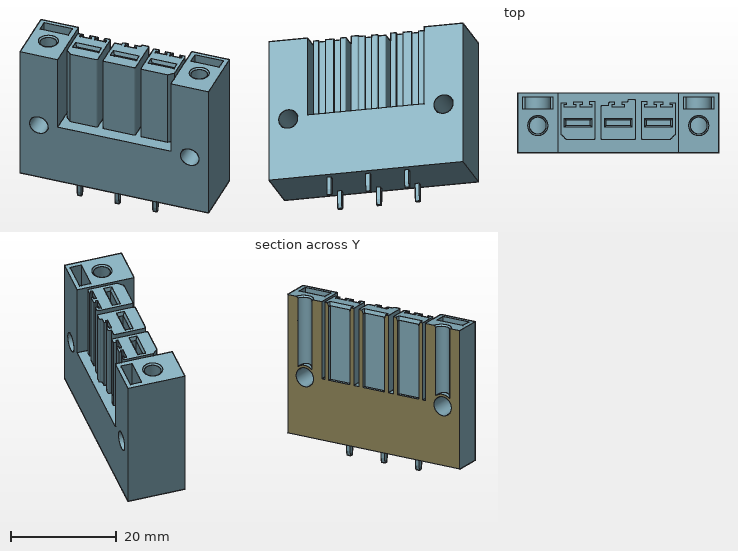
import cadquery as cq

PITCH = 7.62

WIDTH = 38.1
DEPTH = 11.4
HEIGHT = 28.05
NOTCH_WIDTH = 3 * PITCH
NOTCH_FLOOR = 12.45

FLANGE_X = 2 * PITCH
CROSS_HOLE_DIAMETER = 3.75
CROSS_HOLE_Z = 12.0
COLLAR_DIAMETER = 4.88
SCREW_HOLE_DIAMETER = 3.2
SCREW_HOLE_CHAMFER = 0.3
SCREW_HOLE_Y = 5.2
POCKET_WIDTH = 5.7
POCKET_FRONT = 8.35
POCKET_BACK = 10.6

TOWER_FRONT = 2.55
SIDE_TOWER_WIDTH = 6.5
MIDDLE_TOWER_WIDTH = 6.55
TOWER_CHAMFER = 1.03
TOWER_ROUND = 0.23
SIDE_TOWER_OUTER_BACK = 9.5
SIDE_TOWER_INNER_BACK = 9.75
LAND_BACK = 9.6
MIDDLE_TOWER_LOW_BACK = 8.95
MIDDLE_TOWER_HIGH_BACK = 10.15
MIDDLE_STEP_X = 1.83

KEYWAY_X = 1.5
KEYWAY_FLOOR = 8.72
KEYWAY_LIP = 9.15
KEYWAY_NECK = 1.35
KEYWAY_WIDTH = 2.3

SLOT_Y = 5.7
SLOT_LENGTH = 4.57
SLOT_WIDTH = 0.95
SLOT_FLOOR = NOTCH_FLOOR
SLOT_FLARE = 0.325
SLOT_FLARE_DEPTH = 0.72

PIN_WIDTH = 0.8
PIN_DEPTH = 1.03
PIN_TIP_DEPTH = 0.6
PIN_LENGTH = 3.45
PIN_TAPER = 1.0
FRONT_ROW_Y = 1.85


def box(x0, x1, y0, y1, z0, z1):
    """A block between two opposite corners."""
    return cq.Workplane("XY").box(x1 - x0, y1 - y0, z1 - z0, centered=False).translate((x0, y0, z0))


def make_block():
    """U-shaped block: a base between two end blocks."""
    block = box(-WIDTH / 2, WIDTH / 2, 0, DEPTH, 0, HEIGHT)
    notch = box(-NOTCH_WIDTH / 2, NOTCH_WIDTH / 2, 0, DEPTH, NOTCH_FLOOR, HEIGHT)
    return block.cut(notch)


def cross_cylinder(x, diameter):
    """Cylinder running front to back on the cross hole axis."""
    axis_start = cq.Workplane("XZ", origin=(x, 0, CROSS_HOLE_Z))
    return axis_start.circle(diameter / 2).extrude(-DEPTH)


def flange_cuts(x):
    """Cross hole, plus a nut pocket and a screw hole that end on the collar around it."""
    pocket = box(x - POCKET_WIDTH / 2, x + POCKET_WIDTH / 2, POCKET_FRONT, POCKET_BACK, CROSS_HOLE_Z, HEIGHT)
    screw_hole = (
        cq.Workplane("XY", origin=(x, SCREW_HOLE_Y, CROSS_HOLE_Z))
        .circle(SCREW_HOLE_DIAMETER / 2)
        .extrude(HEIGHT - CROSS_HOLE_Z)
    )
    mouth = (
        cq.Workplane("XY", origin=(x, SCREW_HOLE_Y, HEIGHT))
        .circle(SCREW_HOLE_DIAMETER / 2 + SCREW_HOLE_CHAMFER)
        .workplane(offset=-SCREW_HOLE_CHAMFER)
        .circle(SCREW_HOLE_DIAMETER / 2)
        .loft()
    )
    from_top = pocket.union(screw_hole).union(mouth).cut(cross_cylinder(x, COLLAR_DIAMETER))
    return from_top.union(cross_cylinder(x, CROSS_HOLE_DIAMETER))


def tower(outline):
    """Prism on the notch floor from a closed plan outline."""
    height = HEIGHT - NOTCH_FLOOR
    return cq.Workplane("XY").workplane(offset=NOTCH_FLOOR).polyline(outline).close().extrude(height)


def round_upright_edge(body, x, y):
    """Round the vertical edge that passes through (x, y)."""
    middle = (x, y, (NOTCH_FLOOR + HEIGHT) / 2)
    return body.edges(cq.selectors.NearestToPointSelector(middle)).fillet(TOWER_ROUND)


def keyway(x):
    """T-shaped keyway, open to the back."""
    neck = box(x - KEYWAY_NECK / 2, x + KEYWAY_NECK / 2, KEYWAY_FLOOR, DEPTH, NOTCH_FLOOR, HEIGHT)
    undercut = box(x - KEYWAY_WIDTH / 2, x + KEYWAY_WIDTH / 2, KEYWAY_FLOOR, KEYWAY_LIP, NOTCH_FLOOR, HEIGHT)
    return neck.union(undercut)


def contact_slot(x):
    """Rectangular slot with a flared mouth."""
    slot = (
        cq.Workplane("XY", origin=(x, SLOT_Y, SLOT_FLOOR))
        .rect(SLOT_LENGTH, SLOT_WIDTH)
        .extrude(HEIGHT - SLOT_FLOOR)
    )
    mouth = (
        cq.Workplane("XY", origin=(x, SLOT_Y, HEIGHT))
        .rect(SLOT_LENGTH + 2 * SLOT_FLARE, SLOT_WIDTH + 2 * SLOT_FLARE)
        .workplane(offset=-SLOT_FLARE_DEPTH)
        .rect(SLOT_LENGTH, SLOT_WIDTH)
        .loft()
    )
    return slot.union(mouth)


def make_right_tower():
    """Side tower, chamfered on its outer front edge; its back steps down towards the outside."""
    inner = PITCH - SIDE_TOWER_WIDTH / 2
    outer = PITCH + SIDE_TOWER_WIDTH / 2
    inner_step = PITCH - KEYWAY_X
    outer_step = PITCH + KEYWAY_X
    body = tower([
        (inner, TOWER_FRONT),
        (outer - TOWER_CHAMFER, TOWER_FRONT),
        (outer, TOWER_FRONT + TOWER_CHAMFER),
        (outer, SIDE_TOWER_OUTER_BACK),
        (outer_step, SIDE_TOWER_OUTER_BACK),
        (outer_step, LAND_BACK),
        (inner_step, LAND_BACK),
        (inner_step, SIDE_TOWER_INNER_BACK),
        (inner, SIDE_TOWER_INNER_BACK),
    ])
    rounded_corners = [(inner, TOWER_FRONT), (outer, SIDE_TOWER_OUTER_BACK), (inner, SIDE_TOWER_INNER_BACK)]
    for x, y in rounded_corners:
        body = round_upright_edge(body, x, y)
    return body.cut(keyway(inner_step)).cut(keyway(outer_step)).cut(contact_slot(PITCH))


def make_middle_tower():
    """Middle tower, whose back rises in two steps from left to right."""
    half = MIDDLE_TOWER_WIDTH / 2
    outline = [
        (-half, TOWER_FRONT),
        (half, TOWER_FRONT),
        (half, MIDDLE_TOWER_HIGH_BACK),
        (MIDDLE_STEP_X, MIDDLE_TOWER_HIGH_BACK),
        (MIDDLE_STEP_X, LAND_BACK),
        (-MIDDLE_STEP_X, LAND_BACK),
        (-MIDDLE_STEP_X, MIDDLE_TOWER_LOW_BACK),
        (-half, MIDDLE_TOWER_LOW_BACK),
    ]
    body = tower(outline)
    sharp_corner = (-MIDDLE_STEP_X, MIDDLE_TOWER_LOW_BACK)
    for x, y in outline:
        if (x, y) != sharp_corner:
            body = round_upright_edge(body, x, y)
    return body.cut(keyway(0)).cut(contact_slot(0))


def make_housing():
    """Block with the three towers on its notch floor."""
    housing = make_block()
    for side in (-1, 1):
        housing = housing.cut(flange_cuts(side * FLANGE_X))
    right_tower = make_right_tower()
    left_tower = right_tower.mirror("YZ")
    return housing.union(make_middle_tower()).union(right_tower).union(left_tower)


def make_pin(x, y):
    """Flat solder pin under the housing, tapered front and back towards its tip."""
    half = PIN_DEPTH / 2
    half_tip = PIN_TIP_DEPTH / 2
    taper_start = PIN_TAPER - PIN_LENGTH
    return (
        cq.Workplane("YZ", origin=(x - PIN_WIDTH / 2, y, 0))
        .polyline([
            (-half, 0),
            (half, 0),
            (half, taper_start),
            (half_tip, -PIN_LENGTH),
            (-half_tip, -PIN_LENGTH),
            (-half, taper_start),
        ])
        .close()
        .extrude(PIN_WIDTH)
    )


housing = make_housing()
pins = []
for pin_x in (-PITCH, 0, PITCH):
    for pin_y in (FRONT_ROW_Y, FRONT_ROW_Y + PITCH):
        pins.append(make_pin(pin_x, pin_y).val())

result = cq.Compound.makeCompound([housing.val(), *pins])